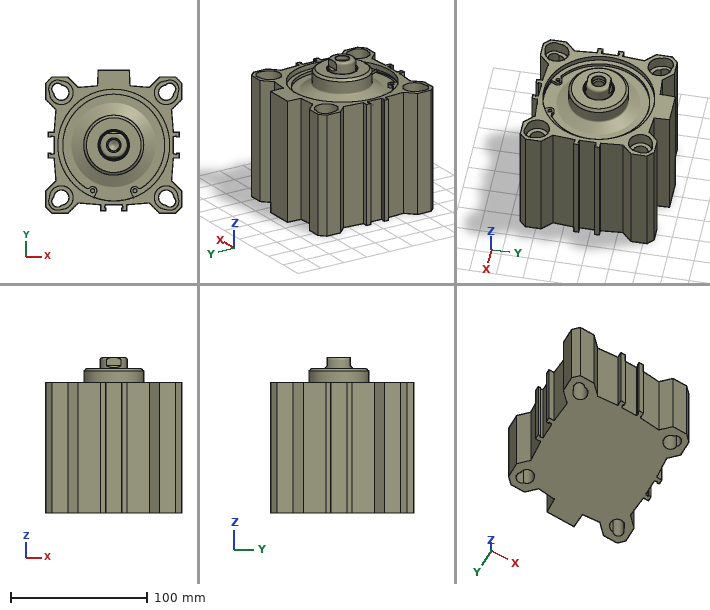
import cadquery as cq
import math

housing_height = 95.8
overall_width = 100.0
half_width = overall_width / 2
corner_chamfer = 4.7
lug_length = 16.4
valley_depth = 7.5
wall_offset = 43.8
overall_depth = 105.0
port_block_top = overall_depth - half_width
port_block_half_base = 12.0
port_block_half_top = 11.5

rail_outer = 9.6
rail_root = 6.2
rail_neck = 6.7
rail_hook = 5.8
rail_hook_offset = 46.0
rail_tip_offset = 48.1
rail_root_depth = 1.1
rail_directions = (180, 270, 0)

bolt_inner_offset = 38.4
bolt_outer_offset = 41.2
bolt_inner_diameter = 11.0
bolt_outer_diameter = 8.3
counterbore_inner_diameter = 17.3
counterbore_outer_diameter = 13.1
counterbore_depth = 9.1

bore_diameter = 82.1
ring_groove_diameter = 85.6
ring_top = 91.8
ring_thickness = 2.3
cover_deck = ring_top - ring_thickness
cover_thickness = 16.0
bore_floor = cover_deck - cover_thickness

cover_diameter = 81.7
cone_diameter = 61.8
boss_diameter = 44.0
cone_top = 93.9
boss_top = 106.0
boss_chamfer = 1.9
cone_fillet = 1.0
wiper_recess_diameter = 21.9
wiper_recess_mouth = 23.0
wiper_recess_depth = 2.3
bearing_mouth = 20.6

ring_inner_diameter = 74.8
eye_x = 15.5
eye_y = -33.4
eye_diameter = 6.2
eye_hole_diameter = 3.0
eye_shoulder_y = -31.7

rod_diameter = 20.0
rod_top = 114.0
rod_rounding = 1.9
across_flats = 17.0
flat_bottom = 108.0
rod_hole_mouth = 10.7
rod_hole_diameter = 10.3
rod_hole_depth = 3.4
rod_core_diameter = 8.3
rod_core_depth = 14.8
drill_tip_angle = 118


def cylinder(diameter, bottom, top, x=0.0, y=0.0):
    """Vertical cylinder between two heights."""
    return cq.Workplane("XY", origin=(x, y, bottom)).circle(diameter / 2).extrude(top - bottom)


def revolved(profile):
    """Solid of revolution about Z from (radius, height) points."""
    return cq.Workplane("XZ").polyline(profile).close().revolve(360, (0, 0), (0, 1))


def block(points, bottom, top):
    """Prism over a polygon between two heights."""
    return cq.Workplane("XY", origin=(0, 0, bottom)).polyline(points).close().extrude(top - bottom)


def turned(point, degrees):
    """Point turned about the Z axis."""
    angle = math.radians(degrees)
    x, y = point
    return (x * math.cos(angle) - y * math.sin(angle), x * math.sin(angle) + y * math.cos(angle))


def housing_profile():
    lug_end = half_width - lug_length
    valley = (half_width - valley_depth, lug_end - valley_depth)
    upper_half = [
        (wall_offset, rail_outer),
        valley,
        (half_width, lug_end),
        (half_width, half_width - corner_chamfer),
    ]
    lower_half = [(x, -y) for x, y in reversed(upper_half)]
    quarter = lower_half + upper_half
    outline = [turned(point, degrees) for degrees in (0, 90, 180, 270) for point in quarter]
    return block(outline, 0, housing_height)


def port_block():
    return block(
        [
            (-port_block_half_base, 0),
            (-port_block_half_base, wall_offset),
            (-port_block_half_top, port_block_top),
            (port_block_half_top, port_block_top),
            (port_block_half_base, wall_offset),
            (port_block_half_base, 0),
        ],
        0,
        housing_height,
    )


def rail(direction, side):
    """One hooked rail on the wall that faces `direction`, on one side of the slot centre."""
    profile = [
        (wall_offset - rail_root_depth, rail_outer),
        (rail_tip_offset, rail_outer),
        (rail_tip_offset, rail_hook),
        (rail_hook_offset, rail_hook),
        (rail_hook_offset, rail_neck),
        (wall_offset, rail_root),
        (wall_offset - rail_root_depth, rail_root),
    ]
    return block([turned((x, side * y), direction) for x, y in profile], 0, housing_height)


def bolt_hole(x_side, y_side):
    """Stepped through hole in one lug."""
    steps = (
        (bolt_inner_offset, bolt_inner_diameter, counterbore_inner_diameter),
        (bolt_outer_offset, bolt_outer_diameter, counterbore_outer_diameter),
    )
    hole = cq.Workplane("XY")
    for offset, through, counterbore in steps:
        x = x_side * offset
        y = y_side * offset
        hole = hole.union(cylinder(through, 0, housing_height, x, y))
        hole = hole.union(cylinder(counterbore, housing_height - counterbore_depth, housing_height, x, y))
    return hole


def make_housing():
    body = housing_profile().union(port_block())
    for direction in rail_directions:
        for side in (-1, 1):
            body = body.union(rail(direction, side))
    for x_side in (-1, 1):
        for y_side in (-1, 1):
            body = body.cut(bolt_hole(x_side, y_side))
    body = body.cut(cylinder(bore_diameter, bore_floor, housing_height))
    return body.cut(cylinder(ring_groove_diameter, cover_deck, ring_top))


def make_cover():
    mouth_chamfer = (wiper_recess_mouth - wiper_recess_diameter) / 2
    recess_floor = boss_top - wiper_recess_depth
    bearing_chamfer = (bearing_mouth - rod_diameter) / 2
    cover = revolved(
        [
            (rod_diameter / 2, bore_floor),
            (cover_diameter / 2, bore_floor),
            (cover_diameter / 2, cover_deck),
            (cone_diameter / 2, cover_deck),
            (boss_diameter / 2, cone_top),
            (boss_diameter / 2, boss_top - boss_chamfer),
            (boss_diameter / 2 - boss_chamfer, boss_top),
            (wiper_recess_mouth / 2, boss_top),
            (wiper_recess_diameter / 2, boss_top - mouth_chamfer),
            (wiper_recess_diameter / 2, recess_floor),
            (bearing_mouth / 2, recess_floor),
            (rod_diameter / 2, recess_floor - bearing_chamfer),
        ]
    )
    reach = (cone_diameter + cover_diameter) / 4
    cone_zone = cq.selectors.BoxSelector(
        (-reach, -reach, cover_deck - cone_fillet),
        (reach, reach, cone_top + cone_fillet),
        boundingbox=True,
    )
    return cover.edges("%CIRCLE").edges(cone_zone).fillet(cone_fillet)


def ring_end(side):
    """Eye at one end of the ring with its shoulder and radial end face; `side` is -1 or 1 in X."""
    x = side * eye_x
    eye = cylinder(eye_diameter, cover_deck, ring_top, x, eye_y)
    reach = math.hypot(eye_x, eye_y)
    radial = (x / reach, eye_y / reach)
    toward_gap = (side * radial[1], -side * radial[0])
    outer = (x + radial[0] * reach, eye_y + radial[1] * reach)
    edge = eye_diameter / 2
    tail = block(
        [
            (x, eye_y),
            (x + toward_gap[0] * edge, eye_y + toward_gap[1] * edge),
            (outer[0] + toward_gap[0] * edge, outer[1] + toward_gap[1] * edge),
            outer,
        ],
        cover_deck,
        ring_top,
    )
    shoulder_x = side * math.sqrt((ring_inner_diameter / 2) ** 2 - eye_shoulder_y**2)
    shoulder = block(
        [(x, eye_y), (x, eye_shoulder_y), (shoulder_x, eye_shoulder_y), (shoulder_x, eye_y)],
        cover_deck,
        ring_top,
    )
    return eye.union(tail).union(shoulder)


def make_retaining_ring():
    disc = cylinder(ring_groove_diameter, cover_deck, ring_top)
    ring = disc.cut(cylinder(ring_inner_diameter, cover_deck, ring_top))
    gap = block([(0, 0), (-2 * eye_x, 2 * eye_y), (2 * eye_x, 2 * eye_y)], cover_deck, ring_top)
    ring = ring.cut(gap)
    for side in (-1, 1):
        ring = ring.union(ring_end(side).intersect(disc))
    for side in (-1, 1):
        ring = ring.cut(cylinder(eye_hole_diameter, cover_deck, ring_top, side * eye_x, eye_y))
    return ring


def wrench_flat(side):
    """Cutter for one flat; its lower end slopes out at 45 degrees. `side` is -1 or 1 in Y."""
    inner = across_flats / 2
    outer = rod_diameter
    profile = [
        (side * inner, rod_top),
        (side * inner, flat_bottom),
        (side * outer, flat_bottom - (outer - inner)),
        (side * outer, rod_top),
    ]
    return cq.Workplane("YZ").polyline(profile).close().extrude(rod_diameter, both=True)


def rod_hole():
    """Axial hole with a chamfered mouth, a conical step and a drill tip."""
    mouth_chamfer = (rod_hole_mouth - rod_hole_diameter) / 2
    core_step = (rod_hole_diameter - rod_core_diameter) / 2
    tip = rod_core_diameter / 2 / math.tan(math.radians(drill_tip_angle / 2))
    return revolved(
        [
            (0, rod_top),
            (rod_hole_mouth / 2, rod_top),
            (rod_hole_diameter / 2, rod_top - mouth_chamfer),
            (rod_hole_diameter / 2, rod_top - rod_hole_depth),
            (rod_core_diameter / 2, rod_top - rod_hole_depth - core_step),
            (rod_core_diameter / 2, rod_top - rod_core_depth),
            (0, rod_top - rod_core_depth - tip),
        ]
    )


def make_rod():
    rod = cylinder(rod_diameter, bore_floor, rod_top).faces(">Z").edges().fillet(rod_rounding)
    for side in (-1, 1):
        rod = rod.cut(wrench_flat(side))
    return rod.cut(rod_hole())


housing = make_housing()
cover = make_cover()
retaining_ring = make_retaining_ring()
rod = make_rod()
result = cq.Compound.makeCompound([housing.val(), cover.val(), retaining_ring.val(), rod.val()])